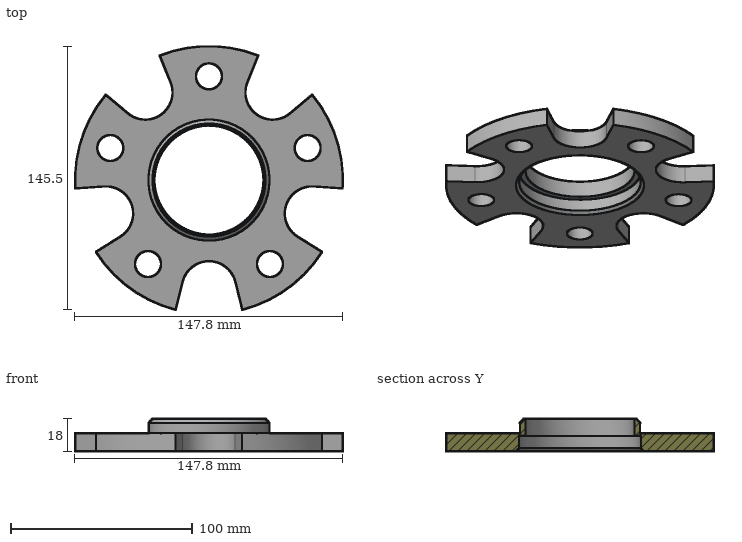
import cadquery as cq
import math

flange_radius = 73.9
flange_thickness = 10.0
lobe_count = 5
pitch_angle = 360 / lobe_count

total_height = 18.0
hub_radius = 33.4
hub_chamfer = 2.2
bore_radius = 30.0

socket_radius = 33.5
socket_depth = 8.5
socket_chamfer = 1.8

bolt_hole_radius = 7.1
bolt_circle_radius = 57.2
first_bolt_angle = 90

notch_floor_distance = 44.8
notch_radius = 14.9
notch_flare_angle = 14.0
notch_outer_distance = flange_radius + 7.4
first_notch_angle = first_bolt_angle + pitch_angle / 2


def make_body():
    flange = cq.Workplane("XY").circle(flange_radius).extrude(flange_thickness)
    hub = cq.Workplane("XY").circle(hub_radius).extrude(total_height)
    hub = hub.faces(">Z").edges().chamfer(hub_chamfer)
    return flange.union(hub)


def make_notch():
    """Cutter along +X: a round floor with straight sides tangent to it."""
    flare = math.radians(notch_flare_angle)
    arc_center = notch_floor_distance + notch_radius
    tangent_x = arc_center - notch_radius * math.sin(flare)
    tangent_y = notch_radius * math.cos(flare)
    mouth_y = tangent_y + (notch_outer_distance - tangent_x) * math.tan(flare)
    return (
        cq.Workplane("XY")
        .moveTo(notch_outer_distance, -mouth_y)
        .lineTo(tangent_x, -tangent_y)
        .threePointArc((notch_floor_distance, 0), (tangent_x, tangent_y))
        .lineTo(notch_outer_distance, mouth_y)
        .close()
        .extrude(flange_thickness)
    )


def make_bolt_holes():
    return (
        cq.Workplane("XY")
        .polarArray(bolt_circle_radius, first_bolt_angle, 360, lobe_count)
        .circle(bolt_hole_radius)
        .extrude(flange_thickness)
    )


def make_bore():
    """Cutter for the through bore and the chamfered socket below it."""
    bore = cq.Workplane("XY").circle(bore_radius).extrude(total_height)
    socket = cq.Workplane("XY").circle(socket_radius).extrude(socket_depth)
    lead_in = (
        cq.Workplane("XY")
        .circle(socket_radius + socket_chamfer)
        .extrude(socket_chamfer, taper=45)
    )
    return bore.union(socket).union(lead_in)


result = make_body()
notch = make_notch()
for index in range(lobe_count):
    notch_angle = first_notch_angle + index * pitch_angle
    result = result.cut(notch.rotate((0, 0, 0), (0, 0, 1), notch_angle))
result = result.cut(make_bolt_holes())
result = result.cut(make_bore())